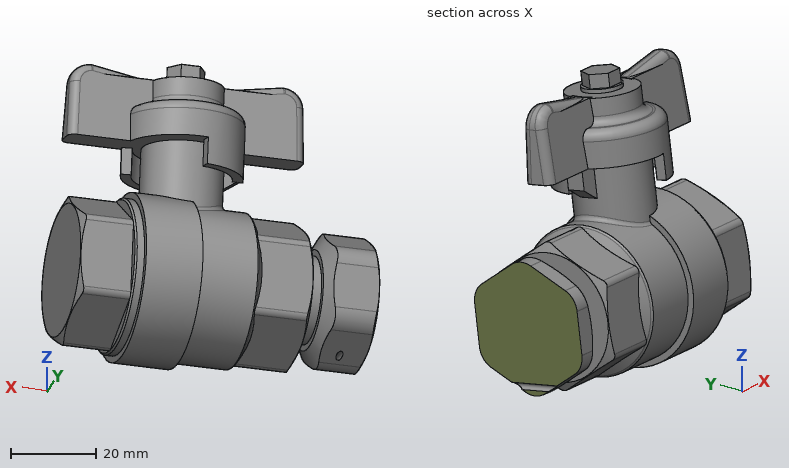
import cadquery as cq
import math

stem_x = 45.15
stem_lean = 7.5

nut_length = 13.0
nut_apothem = 15.0
nut_corner_radius = 5.6
nut_tip_radius = 16.5
nut_face_radius = 14.8
nut_front_bevel = 0.8
nut_back_bevel = 2.6
nut_back_radius = 12.0
neck_radius = 10.5
seal_hole_diameter = 1.5
seal_hole_x = 6.45
seal_hole_height = 14.2

hex_start = 16.6
hex_end = 73.7
hex_apothem = 16.0
hex_corner_radius = 1.85
hex_tip_radius = 18.3
hex_face_radius = 15.9
hex_bevel = 1.2

body_radius = 18.6
body_start = 30.55
body_end = 61.1
body_edge = 0.45
shoulder_length = 1.3
ring_diameter = 40.4
ring_start = 45.0
ring_end = 58.85

stem_radius = 9.85
stem_fillet = 1.1
stop_width = 4.6
stop_reach = 14.3
stop_outer_height = 27.05
stop_inner_height = 24.0

hub_radius = 14.45
hub_bottom = 32.5
hub_rounding = 2.6
hub_shoulder = 41.65
cap_radius = 9.2
cap_height = 48.2
cap_fillet = 2.1
tab_bottom = 25.95
tab_thickness = 2.5
tab_start_angle = -82
tab_sweep = 73

wing_reach = 29.0
wing_draft = 0.4
wing_peak_x = 23.3
wing_peak_height = 50.8
wing_root_height = 48.3
wing_corner_height = 45.8
wing_bottom_width = 7.7
wing_top_width = 5.2
wing_rounding = 2.1

collar_radius = 5.05
collar_top = 49.15
bolt_across_corners = 9.3
bolt_top = 52.6


def cylinder_x(start, end, radius):
    return cq.Workplane("YZ").workplane(offset=start).circle(radius).extrude(end - start)


def turned_x(points):
    """Solid of revolution about the flow axis from (x, radius) points."""
    return cq.Workplane("XY").polyline(points).close().revolve(360, (0, 0), (1, 0))


def hex_prism_x(start, end, apothem, corner_radius):
    """Hexagonal bar along X with rounded edges and one corner straight up."""
    corner_diameter = 2 * apothem / math.cos(math.radians(30))
    bar = cq.Workplane("YZ").workplane(offset=start).polygon(6, corner_diameter).extrude(end - start)
    return bar.rotate((0, 0, 0), (1, 0, 0), 90).edges("|X").fillet(corner_radius)


def make_nut():
    nut = hex_prism_x(0, nut_length, nut_apothem, nut_corner_radius)
    bevel_envelope = turned_x([
        (0, 0),
        (0, nut_face_radius),
        (nut_front_bevel, nut_tip_radius),
        (nut_length - nut_back_bevel, nut_tip_radius),
        (nut_length, nut_back_radius),
        (nut_length, 0),
    ])
    seal_hole = (
        cq.Workplane("XZ")
        .center(seal_hole_x, -seal_hole_height)
        .circle(seal_hole_diameter / 2)
        .extrude(nut_apothem, both=True)
    )
    return nut.intersect(bevel_envelope).cut(seal_hole)


def make_hex_ends():
    bar = hex_prism_x(hex_start, hex_end, hex_apothem, hex_corner_radius)
    bevel_envelope = turned_x([
        (hex_start, 0),
        (hex_start, hex_face_radius),
        (hex_start + hex_bevel, hex_tip_radius),
        (hex_end - hex_bevel, hex_tip_radius),
        (hex_end, hex_face_radius),
        (hex_end, 0),
    ])
    return bar.intersect(bevel_envelope)


def make_stem():
    return cq.Workplane("XY").center(stem_x, 0).circle(stem_radius).extrude(hub_bottom + 0.75)


def make_stop():
    """Stop lug on the -X side of the stem with a sloping underside."""
    return (
        cq.Workplane("XZ")
        .polyline([
            (stem_x, hub_bottom),
            (stem_x - stop_reach, hub_bottom),
            (stem_x - stop_reach, stop_outer_height),
            (stem_x - stem_radius, stop_inner_height),
            (stem_x, stop_inner_height),
        ])
        .close()
        .extrude(stop_width / 2, both=True)
    )


def make_hub():
    hub = cq.Workplane("XY").workplane(offset=hub_bottom).circle(hub_radius).extrude(hub_shoulder - hub_bottom)
    hub = hub.faces(">Z").edges().fillet(hub_rounding)
    hub = hub.faces(">Z").workplane().circle(cap_radius).extrude(cap_height - hub_shoulder)
    shoulder_edge = cq.selectors.BoxSelector(
        (-cap_radius - 0.75, -cap_radius - 0.75, hub_shoulder - 0.1),
        (cap_radius + 0.75, cap_radius + 0.75, hub_shoulder + 0.1),
        boundingbox=True,
    )
    return hub.edges(shoulder_edge).fillet(cap_fillet)


def make_tab():
    """Stop tab: part of a ring hanging below the hub."""
    profile = (
        cq.Workplane("XZ")
        .moveTo(hub_radius - tab_thickness, tab_bottom)
        .rect(tab_thickness, hub_bottom + 0.75 - tab_bottom, centered=False)
    )
    tab = profile.revolve(tab_sweep, (0, 0), (0, 1))
    return tab.rotate((0, 0, 0), (0, 0, 1), tab_start_angle)


def make_wing():
    side_top = wing_reach - wing_draft
    outline = (
        cq.Workplane("XZ")
        .moveTo(0, hub_bottom)
        .lineTo(wing_reach, hub_bottom)
        .lineTo(side_top, wing_corner_height)
        .tangentArcPoint((wing_peak_x, wing_peak_height), relative=False)
        .lineTo(cap_radius, wing_root_height)
        .lineTo(0, wing_root_height)
        .close()
        .extrude(wing_bottom_width, both=True)
    )
    tapered_bar = (
        cq.Workplane("YZ")
        .polyline([
            (-wing_bottom_width / 2, hub_bottom),
            (wing_bottom_width / 2, hub_bottom),
            (wing_top_width / 2, wing_peak_height),
            (-wing_top_width / 2, wing_peak_height),
        ])
        .close()
        .extrude(wing_reach)
    )
    wing = outline.intersect(tapered_bar)
    rim = cq.selectors.BoxSelector(
        (cap_radius + 0.75, -wing_bottom_width, hub_bottom + 0.75),
        (wing_reach + 0.75, wing_bottom_width, wing_peak_height + 0.75),
    )
    wing = wing.edges(rim).edges("not |Y").fillet(wing_rounding)
    root_trim = cq.Workplane("XY").circle(cap_radius - 0.75).extrude(cap_height * 2)
    return wing.cut(root_trim)


def make_bolt():
    collar = cq.Workplane("XY").workplane(offset=cap_height).circle(collar_radius).extrude(collar_top - cap_height)
    head = (
        cq.Workplane("XY")
        .workplane(offset=collar_top)
        .polygon(6, bolt_across_corners)
        .extrude(bolt_top - collar_top)
    )
    return collar.union(head)


def make_handle():
    handle = make_hub()
    for half_turn in (0, 180):
        handle = handle.union(make_wing().rotate((0, 0, 0), (0, 0, 1), half_turn))
        handle = handle.union(make_tab().rotate((0, 0, 0), (0, 0, 1), half_turn))
    return handle.union(make_bolt()).translate((stem_x, 0, 0))


def make_round_body():
    return turned_x([
        (body_start - shoulder_length, 0),
        (body_start - shoulder_length, hex_apothem),
        (body_start, body_radius - body_edge),
        (body_start + body_edge, body_radius),
        (body_end - body_edge, body_radius),
        (body_end, body_radius - body_edge),
        (body_end, 0),
    ])


stem_foot = cq.selectors.BoxSelector(
    (stem_x - stem_radius - 0.75, -stem_radius - 0.75, body_radius / 2),
    (stem_x + stem_radius + 0.75, stem_radius + 0.75, body_radius + 0.75),
    boundingbox=True,
)
body = make_round_body().union(make_stem()).edges(stem_foot).fillet(stem_fillet)

valve = (
    body.union(make_hex_ends())
    .union(cylinder_x(ring_start, ring_end, ring_diameter / 2))
    .union(cylinder_x(nut_length - 0.75, hex_start + 0.75, neck_radius))
    .union(make_nut())
    .union(make_stop())
    .union(make_handle())
)

result = valve.rotate((0, 0, 0), (1, 0, 0), -stem_lean)